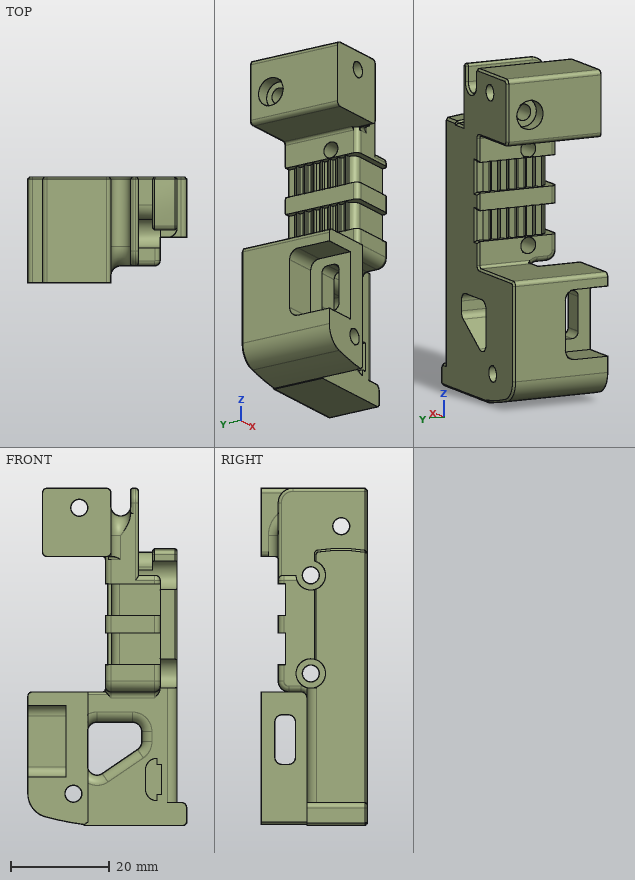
import cadquery as cq
import math

HEIGHT = 68.75
DEPTH = 21.6
WIDTH = 32.4
BACK_CHAMFER = 0.45
EPS = 0.5

LOWER_W = 12.25
LOWER_H = 27.25
TOP_EDGE_R = 0.95
BELLY_START = 6.5
BELLY_X, BELLY_Z = 3.6, 1.78
LOWER_FOOT_R = 0.75
LOWER_FOOT_Z = 0.2
POCKET_DEPTH = 7.75
POCKET_Y = 9.7
POCKET_Z0, POCKET_Z1 = 9.87, 24.43
POCKET_R = 2.1
SLOT_Y0, SLOT_Y1 = 2.8, 6.95
SLOT_Z0, SLOT_Z1 = 12.5, 22.55
SLOT_R = 1.4
PIN_D = 3.4
LOWER_PIN = (9.3, 6.5)

PLATE_Y = 9.28
PLATE_ROOT = 8.25
PLATE_RIGHT = 30.45
PLATE_EDGE_R = 2.0
PLATE_TOP_R = 0.5
FOOT_H = 4.75
FOOT_TOP_R = 1.15
FOOT_BOTTOM_CHAMFER = 0.5

WINDOW_R = 1.9
WINDOW_LEFT, WINDOW_RIGHT = 14.1, 21.3
WINDOW_BOTTOM, WINDOW_STEP, WINDOW_TOP = 12.2, 17.1, 19.15
WINDOW_ROUND = 2.1

RECESS_LEFT, RECESS_STEP, RECESS_RIGHT = 24.0, 26.3, 27.25
RECESS_Z0, RECESS_Z1 = 5.1, 13.7
RECESS_R = 2.25
RECESS_LIP = 1.25
RECESS_DEPTH = 6.0

COL_X0, COL_X1 = 15.8, 27.0
COL_Y = 3.45
CLAMP_PITCH = 20.0
LOWER_CLAMP_Z = 31.0
UPPER_CLAMP_Z = LOWER_CLAMP_Z + CLAMP_PITCH
CLAMP_Y = 10.1
CLAMP_D = 3.4
CLAMP_HEAD_D = 6.0
LEDGE_TOP = LOWER_CLAMP_Z - CLAMP_HEAD_D / 2
COL_TOP = UPPER_CLAMP_Z
COL_EDGE_R = 1.15
COL_TOP_R = 1.05
COL_BOTTOM_R = 2.2
COL_BLEND_R = 1.2
COL_SIDE_BLEND = 0.6

BELT_W = 6.4
BELT_Z = (32.8, 42.85)
BELT_Y = 4.9
BELT_CREST_X = 16.3
BELT_FLOOR_X = 17.1
BELT_CORNER_R = 1.6
TOOTH_PITCH = 2.0
TOOTH_COUNT = 7
TOOTH_FIRST_Y = BELT_Y + BELT_CORNER_R
TOOTH_CREST = 0.35
TOOTH_RAMP = 0.95

UPPER_X0, UPPER_X1 = 3.0, 16.95
UPPER_Z0 = 54.8
UPPER_PIN = (10.5, 64.75)
BOLT_Y, BOLT_Z = 16.3, 61.0
BOLT_HEAD_D = 6.0
BOLT_HEAD_DEPTH = 3.0
GAP_R = 2.0
GAP_X = UPPER_X1 + GAP_R
GAP_AXIS_Z = 65.1
GAP_BEND_R = 6.0
GAP_AXIS_Y = COL_Y - GAP_R
WALL_X0 = GAP_X + GAP_R
WALL_X1 = 22.57
WALL_CORNER_R = 3.0
WALL_EDGE_RIGHT = 0.65
WALL_EDGE_LEFT = 0.5

FLANGE_Y = 10.8
FLANGE_TOP = 56.5
FLANGE_CROWN_R = 30.0
FLANGE_X0 = 25.45
FLANGE_EDGE = 0.4
FLANGE_FRONT_R = 0.9
SADDLE_TOP = 55.7
SADDLE_R = 3.0
SADDLE_Y = 12.9


def box(x0, x1, y0, y1, z0, z1):
    """Box between the given limits on each axis."""
    return cq.Workplane("XY").box(x1 - x0, y1 - y0, z1 - z0, centered=False).translate((x0, y0, z0))


def bore_x(dia, y, z, x0, x1):
    """Cylinder along X from x0 to x1."""
    return cq.Workplane("YZ", origin=(x0, y, z)).circle(dia / 2).extrude(x1 - x0)


def bore_y(dia, x, z):
    """Cylinder along Y through the whole depth."""
    return cq.Workplane("XZ", origin=(x, -EPS, z)).circle(dia / 2).extrude(-(DEPTH + 2 * EPS))


def lower_block():
    """Block with a rounded belly, an open corner pocket and a slot through the pocket floor."""
    body = (
        cq.Workplane("XZ")
        .moveTo(0, LOWER_H)
        .lineTo(0, BELLY_START)
        .tangentArcPoint((BELLY_X, BELLY_Z), relative=False)
        .tangentArcPoint((LOWER_W - LOWER_FOOT_R, LOWER_FOOT_Z), relative=False)
        .lineTo(LOWER_W, LOWER_FOOT_R)
        .lineTo(LOWER_W, LOWER_H)
        .close()
        .extrude(-DEPTH)
    )
    body = body.edges(cq.selectors.NearestToPointSelector((0, DEPTH / 2, LOWER_H))).fillet(TOP_EDGE_R)
    pocket = box(-EPS, POCKET_DEPTH, -POCKET_R, POCKET_Y, POCKET_Z0, POCKET_Z1)
    pocket = pocket.edges("|X and >Y").fillet(POCKET_R)
    slot = box(0, LOWER_W + EPS, SLOT_Y0, SLOT_Y1, SLOT_Z0, SLOT_Z1).edges("|X").fillet(SLOT_R)
    return body.cut(pocket).cut(slot)


def window():
    """Four-cornered through window with a rounded front rim."""
    def corner(cx, cz, start, end):
        """Start, middle and end of a corner arc between two angles in degrees."""
        points = []
        for angle in (start, (start + end) / 2, end):
            a = math.radians(angle)
            points.append((cx + WINDOW_R * math.cos(a), cz + WINDOW_R * math.sin(a)))
        return points

    slope = math.degrees(math.atan2(WINDOW_STEP - WINDOW_BOTTOM, WINDOW_RIGHT - WINDOW_LEFT)) - 90
    corners = [
        corner(WINDOW_LEFT, WINDOW_BOTTOM, -180, slope),
        corner(WINDOW_RIGHT, WINDOW_STEP, slope, 0),
        corner(WINDOW_RIGHT, WINDOW_TOP, 0, 90),
        corner(WINDOW_LEFT, WINDOW_TOP, 90, 180),
    ]
    outline = cq.Workplane("XZ", origin=(0, PLATE_Y, 0)).moveTo(*corners[0][0])
    outline = outline.threePointArc(*corners[0][1:])
    for first, middle, last in corners[1:]:
        outline = outline.lineTo(*first).threePointArc(middle, last)
    return outline.close().extrude(-(DEPTH - PLATE_Y))


def plate():
    """Back plate with its foot, the window and a ledge beside the lower screw head."""
    body = box(PLATE_ROOT, PLATE_RIGHT, PLATE_Y, DEPTH, FOOT_H / 2, LOWER_H)
    ledge = box(COL_X1 - EPS, PLATE_RIGHT, PLATE_Y, DEPTH, LOWER_H - EPS, LEDGE_TOP)
    body = body.union(ledge)
    body = body.edges("|Z and >X and <Y").fillet(PLATE_EDGE_R)
    foot = box(LOWER_W - LOWER_FOOT_R, WIDTH, PLATE_Y, DEPTH, 0, FOOT_H)
    foot = foot.edges("|Y and >X and >Z").fillet(FOOT_TOP_R)
    foot = foot.edges("|Y and >X and <Z").chamfer(FOOT_BOTTOM_CHAMFER)
    body = body.union(foot).cut(window())
    rim_reach = WINDOW_R + EPS
    rim = cq.selectors.BoxSelector(
        (WINDOW_LEFT - rim_reach, PLATE_Y - EPS, WINDOW_BOTTOM - rim_reach),
        (WINDOW_RIGHT + rim_reach, PLATE_Y + EPS, WINDOW_TOP + rim_reach),
    )
    body = body.edges(rim).fillet(WINDOW_ROUND)
    top_edge = cq.selectors.NearestToPointSelector(((LOWER_W + COL_X0) / 2, PLATE_Y, LOWER_H))
    return body.edges(top_edge).fillet(PLATE_TOP_R)


def recess():
    """Blind recess: a tall lobe rounded on the left and a shorter key on the right."""
    lobe = box(RECESS_LEFT, RECESS_STEP, PLATE_Y - EPS, PLATE_Y + RECESS_DEPTH, RECESS_Z0, RECESS_Z1)
    lobe = lobe.edges("|Y and <X").fillet(RECESS_R)
    key = box(
        RECESS_STEP - EPS, RECESS_RIGHT, PLATE_Y - EPS, PLATE_Y + RECESS_DEPTH,
        RECESS_Z0 + RECESS_LIP, RECESS_Z1 - RECESS_LIP,
    )
    return lobe.union(key)


def belt_track(z0):
    """Cutter for one belt: front relief, rounded corner and the tooth ramps on the left."""
    profile = cq.Workplane("XY", origin=(0, 0, z0)).moveTo(COL_X1 + EPS, COL_Y - EPS)
    profile = profile.lineTo(COL_X1 + EPS, BELT_Y).lineTo(BELT_FLOOR_X + BELT_CORNER_R, BELT_Y)
    profile = profile.radiusArc((BELT_FLOOR_X, TOOTH_FIRST_Y), BELT_CORNER_R)
    for i in range(TOOTH_COUNT):
        y = TOOTH_FIRST_Y + i * TOOTH_PITCH
        profile = profile.lineTo(BELT_CREST_X, y).lineTo(BELT_CREST_X, y + TOOTH_CREST)
        ramp_end = y + TOOTH_CREST + TOOTH_RAMP
        profile = profile.lineTo(BELT_FLOOR_X, ramp_end).lineTo(BELT_FLOOR_X, y + TOOTH_PITCH)
    profile = profile.lineTo(BELT_FLOOR_X, DEPTH + EPS)
    profile = profile.lineTo(COL_X0 - EPS, DEPTH + EPS).lineTo(COL_X0 - EPS, COL_Y - EPS)
    return profile.close().extrude(BELT_W)


def column():
    """Clamp column: rounded under the front, blended into the plate, all side edges rounded."""
    root = LOWER_H - 2 * COL_BLEND_R
    body = (
        cq.Workplane("YZ", origin=(COL_X0, 0, 0))
        .moveTo(DEPTH, COL_TOP)
        .lineTo(COL_Y, COL_TOP)
        .lineTo(COL_Y, LOWER_H + COL_BOTTOM_R)
        .radiusArc((COL_Y + COL_BOTTOM_R, LOWER_H), -COL_BOTTOM_R)
        .lineTo(PLATE_Y - COL_BLEND_R, LOWER_H)
        .radiusArc((PLATE_Y, LOWER_H - COL_BLEND_R), COL_BLEND_R)
        .lineTo(PLATE_Y, root)
        .lineTo(DEPTH, root)
        .close()
        .extrude(COL_X1 - COL_X0)
    )
    tall_edges = cq.selectors.BoxSelector(
        (COL_X0 - EPS, COL_Y - EPS, LOWER_H), (COL_X1 + EPS, COL_Y + EPS, COL_TOP - EPS)
    )
    body = body.edges("|Z").edges(tall_edges).fillet(COL_EDGE_R)
    body = body.faces(">Z").edges("<Y or >X").fillet(COL_TOP_R)
    neck = box(COL_X0, WALL_X0 + EPS, COL_Y, DEPTH, COL_TOP - COL_EDGE_R, UPPER_Z0 + EPS)
    neck = neck.edges("|Z and <Y and <X").fillet(COL_EDGE_R)
    return body.union(neck).union(column_side_blend()).union(neck_blend())


def neck_blend():
    """Concave blend between the left of the column and the underside of the upper block."""
    return (
        cq.Workplane("XZ", origin=(0, COL_Y + COL_EDGE_R, 0))
        .moveTo(COL_X0, UPPER_Z0)
        .lineTo(COL_X0, UPPER_Z0 - COL_SIDE_BLEND)
        .radiusArc((COL_X0 - COL_SIDE_BLEND, UPPER_Z0), -COL_SIDE_BLEND)
        .close()
        .extrude(-(DEPTH - COL_Y - COL_EDGE_R))
    )


def column_side_blend():
    """Concave blend between the left of the column and the top of the plate."""
    return (
        cq.Workplane("XZ", origin=(0, PLATE_Y + PLATE_TOP_R, 0))
        .moveTo(COL_X0, LOWER_H)
        .lineTo(COL_X0 - COL_SIDE_BLEND, LOWER_H)
        .radiusArc((COL_X0, LOWER_H + COL_SIDE_BLEND), -COL_SIDE_BLEND)
        .close()
        .extrude(-(DEPTH - PLATE_Y - PLATE_TOP_R))
    )


def flange():
    """Thickened right edge with a crowned top, and the saddle that joins it to the column."""
    half_chord = (DEPTH - FLANGE_Y) / 2
    shoulder = FLANGE_TOP - FLANGE_CROWN_R + math.sqrt(FLANGE_CROWN_R**2 - half_chord**2)
    edge = (
        cq.Workplane("YZ", origin=(FLANGE_X0, 0, 0))
        .moveTo(FLANGE_Y, LEDGE_TOP)
        .lineTo(FLANGE_Y, shoulder)
        .threePointArc((FLANGE_Y + half_chord, FLANGE_TOP), (DEPTH, shoulder))
        .lineTo(DEPTH, LEDGE_TOP)
        .close()
        .extrude(PLATE_RIGHT - FLANGE_X0)
    )
    front_edge = cq.selectors.NearestToPointSelector((COL_X1, FLANGE_Y, shoulder))
    edge = edge.edges(front_edge).fillet(FLANGE_FRONT_R)
    edge = edge.faces("<X or >X").edges("<Y or >Z").chamfer(FLANGE_EDGE)
    saddle = box(WALL_X0, COL_X1, SADDLE_Y, DEPTH, COL_TOP - COL_EDGE_R, SADDLE_TOP)
    saddle = saddle.edges("|X and <Y and >Z").fillet(SADDLE_R)
    return edge.union(saddle)


def wall():
    """Thin upright wall with a rounded top front corner and softened rims."""
    body = box(WALL_X0, WALL_X1, COL_Y, DEPTH, COL_TOP - COL_EDGE_R, HEIGHT)
    body = body.edges("|X and <Y and >Z").fillet(WALL_CORNER_R)
    body = body.faces(">X").edges("<Y or >Z").fillet(WALL_EDGE_RIGHT)
    return body.faces("<X").edges("<Y or >Z").fillet(WALL_EDGE_LEFT)


def gap_fill():
    """Web between the upper block and the wall; its round gap bends down into the front corner blend."""
    bend_y, bend_z = GAP_AXIS_Y + GAP_BEND_R, GAP_AXIS_Z - GAP_BEND_R
    bottom = UPPER_Z0 - COL_SIDE_BLEND
    body = (
        cq.Workplane("YZ", origin=(UPPER_X1 - EPS, 0, 0))
        .moveTo(DEPTH, bottom)
        .lineTo(COL_Y, bottom)
        .radiusArc((COL_Y - COL_SIDE_BLEND, UPPER_Z0), -COL_SIDE_BLEND)
        .lineTo(GAP_AXIS_Y, UPPER_Z0)
        .lineTo(GAP_AXIS_Y, bend_z)
        .radiusArc((bend_y, GAP_AXIS_Z), GAP_BEND_R)
        .lineTo(DEPTH, GAP_AXIS_Z)
        .close()
        .extrude(WALL_X0 - UPPER_X1 + 2 * EPS)
    )
    path = (
        cq.Workplane("YZ", origin=(GAP_X, 0, 0))
        .moveTo(GAP_AXIS_Y, bottom - EPS)
        .lineTo(GAP_AXIS_Y, bend_z)
        .radiusArc((bend_y, GAP_AXIS_Z), GAP_BEND_R)
        .lineTo(DEPTH + EPS, GAP_AXIS_Z)
    )
    tube = cq.Workplane("XY", origin=(GAP_X, GAP_AXIS_Y, bottom - EPS)).circle(GAP_R).sweep(path)
    front_of_wall = box(GAP_X, WALL_X1, GAP_AXIS_Y - EPS, COL_Y, bottom - EPS, HEIGHT)
    return body.cut(tube).cut(front_of_wall)


def upper_block():
    """Plain block with its long edges rounded."""
    body = box(UPPER_X0, UPPER_X1, 0, DEPTH, UPPER_Z0, HEIGHT)
    return body.edges("|Y").fillet(TOP_EDGE_R)


def clamp_bore(z):
    """Screw clearance through the column with the head bore from the right."""
    shank = bore_x(CLAMP_D, CLAMP_Y, z, COL_X0 - EPS, WIDTH)
    return shank.union(bore_x(CLAMP_HEAD_D, CLAMP_Y, z, WALL_X1, WIDTH))


def upper_bolt():
    """Bolt hole along X, counterbored from the left."""
    shank = bore_x(PIN_D, BOLT_Y, BOLT_Z, 0, WIDTH)
    return shank.union(bore_x(BOLT_HEAD_D, BOLT_Y, BOLT_Z, UPPER_X0 - EPS, UPPER_X0 + BOLT_HEAD_DEPTH))


result = plate().union(lower_block()).union(column()).union(flange())
result = result.union(upper_block()).union(wall()).union(gap_fill())
for track_z in BELT_Z:
    result = result.cut(belt_track(track_z))
result = result.cut(recess())
for clamp_z in (LOWER_CLAMP_Z, UPPER_CLAMP_Z):
    result = result.cut(clamp_bore(clamp_z))
for pin_x, pin_z in (LOWER_PIN, UPPER_PIN):
    result = result.cut(bore_y(PIN_D, pin_x, pin_z))
result = result.cut(upper_bolt())

result = result.faces(">Y").wires(cq.selectors.LengthNthSelector(-1)).chamfer(BACK_CHAMFER)